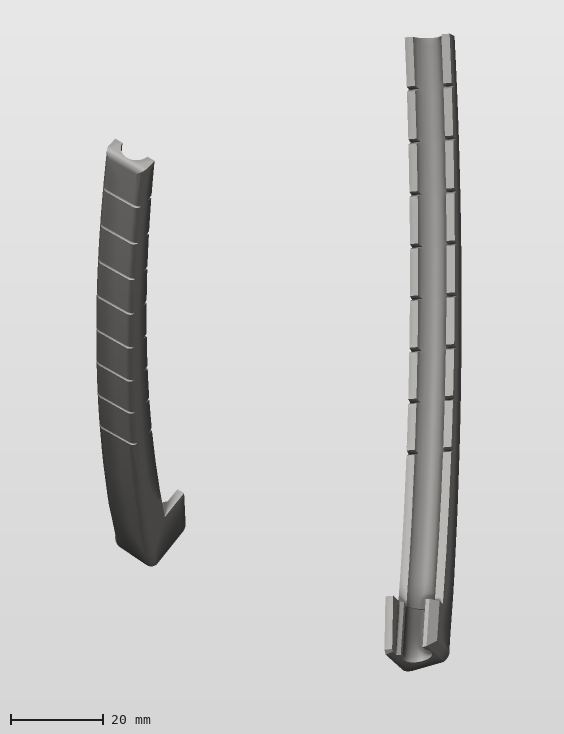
import cadquery as cq
import math

width = 10.5
half_width = width / 2
top_z = 69.9
bottom_z = -69.9
front_y = -9.8
back_y = -4.6
edge_round = 1.7

front_radius = 440.5
front_crest_z = 10.9
front_centre_y = front_y + front_radius
back_radius = 430.7
back_crest_z = 19.5
back_centre_y = back_y + back_radius

channel_radius = 3.4
channel_inset = 0.5
channel_lift = 0.1

groove_count = 8
groove_pitch = 11.5
first_groove_z = 58.7
front_groove_depth = 0.8
back_groove_depth = 1.3
groove_slope = 0.45

clip_top_z = -57.6
clip_bore_radius = 3.2
clip_bore_depth = 6.7
clip_gap = 2.7
arm_depth = 10.2
lip_bevel = 0.7
arm_chamfer = 1.7
tongue_depth = 13.8
tongue_end_depth = 12.6
tongue_thickness = 1.8
tongue_corner = 0.8
end_slope = math.tan(math.radians(11.5))

clip_angle = math.asin((front_crest_z - clip_top_z) / front_radius)

depth_rise = math.sin(clip_angle)
side_rise = end_slope * math.cos(clip_angle)
corner_lift = edge_round * (depth_rise + side_rise - math.hypot(depth_rise, side_rise))
sharp_bottom_z = bottom_z - corner_lift
bottom_angle = math.asin((front_crest_z - sharp_bottom_z) / front_radius)
clip_length = front_radius * math.sin(bottom_angle - clip_angle)


def arc_y(centre_y, radius, crest_z, z):
    """Y of a bowed face at height z."""
    return centre_y - math.sqrt(radius**2 - (z - crest_z) ** 2)


def front_point(z):
    """YZ point on the front face."""
    return (arc_y(front_centre_y, front_radius, front_crest_z, z), z)


def back_point(z):
    """YZ point on the back face."""
    return (arc_y(back_centre_y, back_radius, back_crest_z, z), z)


clip_y, _ = front_point(clip_top_z)


def clip_point(depth, drop):
    """YZ point a given depth behind the front face and a given drop below the clip's top."""
    y = clip_y + depth * math.cos(clip_angle) + drop * math.sin(clip_angle)
    z = clip_top_z + depth * math.sin(clip_angle) - drop * math.cos(clip_angle)
    return (y, z)


clip_plane = cq.Plane(
    origin=(0, clip_y, clip_top_z),
    xDir=(1, 0, 0),
    normal=(0, -math.sin(clip_angle), math.cos(clip_angle)),
)

corner_z = clip_top_z
for _ in range(4):
    corner_z = clip_top_z + (back_point(corner_z)[0] - clip_y) * math.tan(clip_angle)


def make_blank():
    """Bowed strip with the clip block, its front edges rounded."""
    blank = (
        cq.Workplane("YZ", origin=(-half_width, 0, 0))
        .moveTo(*front_point(top_z))
        .threePointArc(front_point(front_crest_z), front_point(sharp_bottom_z))
        .lineTo(*clip_point(tongue_end_depth - tongue_corner, clip_length))
        .lineTo(*clip_point(tongue_end_depth, clip_length - tongue_corner))
        .lineTo(*clip_point(tongue_depth, 0))
        .lineTo(*back_point(corner_z))
        .threePointArc(back_point(back_crest_z), back_point(top_z))
        .close()
        .extrude(width)
    )
    return blank.faces("<Y").edges("not(<Z)").fillet(edge_round)


def make_channel():
    """U channel following the back arc from beyond the top end down to the clip."""
    start_z = corner_z + channel_lift
    start_angle = math.asin((back_crest_z - start_z) / back_radius)
    sweep = math.degrees(2 * start_angle)
    plane = cq.Plane(
        origin=(0, *back_point(start_z)),
        xDir=(1, 0, 0),
        normal=(0, -math.sin(start_angle), math.cos(start_angle)),
    )
    open_y = channel_inset + channel_radius
    return (
        cq.Workplane(plane)
        .moveTo(-channel_radius, open_y)
        .lineTo(-channel_radius, channel_inset)
        .threePointArc((0, channel_inset - channel_radius), (channel_radius, channel_inset))
        .lineTo(channel_radius, open_y)
        .close()
        .revolve(sweep, (1.4, back_radius), (-1.4, back_radius))
    )


def make_groove(face_point, depth, z):
    """V groove across the full width, square to the bow; a negative depth cuts towards -Y."""
    tilt = math.degrees(math.asin((z - front_crest_z) / front_radius))
    mouth = abs(depth) * groove_slope
    outline = [(depth, 0), (-depth, 2 * mouth), (-depth, -2 * mouth)]
    plane = cq.Plane(origin=(-half_width, *face_point(z)), xDir=(0, 1, 0), normal=(1, 0, 0))
    return cq.Workplane(plane.rotated((0, 0, -tilt))).polyline(outline).close().extrude(width)


def make_clip_opening():
    """Bore and gap of the clip; also trims the -X arm short and thins the +X tongue."""
    tongue_x = half_width - tongue_thickness
    beyond = 2 * tongue_depth
    start = cq.Workplane(clip_plane).workplane(offset=2 * channel_lift)
    gap = (
        start.polyline(
            [
                (-half_width - arm_chamfer, arm_depth - 2 * arm_chamfer),
                (-half_width + arm_chamfer, arm_depth),
                (-clip_gap, arm_depth),
                (-clip_gap, clip_bore_depth),
                (clip_gap, clip_bore_depth),
                (clip_gap, arm_depth - lip_bevel),
                (tongue_x, arm_depth),
                (tongue_x, beyond),
                (-half_width - arm_chamfer, beyond),
            ]
        )
        .close()
        .extrude(-2 * clip_length)
    )
    bore = start.center(0, clip_bore_depth).circle(clip_bore_radius).extrude(-2 * clip_length)
    return gap.union(bore)


def make_end_trim():
    """Wedge that slants the lower end up towards -X and chamfers its -X corner."""
    chamfer_drop = clip_length - (width - arm_chamfer) * end_slope
    base = clip_plane.rotated((90, 0, 0))
    outline = [
        (width, clip_length + half_width * end_slope),
        (-half_width + arm_chamfer, chamfer_drop),
        (-width, chamfer_drop - arm_chamfer - half_width),
        (-width, 2 * clip_length),
        (width, 2 * clip_length),
    ]
    return (
        cq.Workplane(base)
        .polyline([(x, -drop) for x, drop in outline])
        .close()
        .extrude(2 * tongue_depth, both=True)
    )


result = make_blank().cut(make_channel())
for index in range(groove_count):
    groove_z = first_groove_z - index * groove_pitch
    result = result.cut(make_groove(front_point, front_groove_depth, groove_z))
    result = result.cut(make_groove(back_point, -back_groove_depth, groove_z))
result = result.cut(make_clip_opening()).cut(make_end_trim())